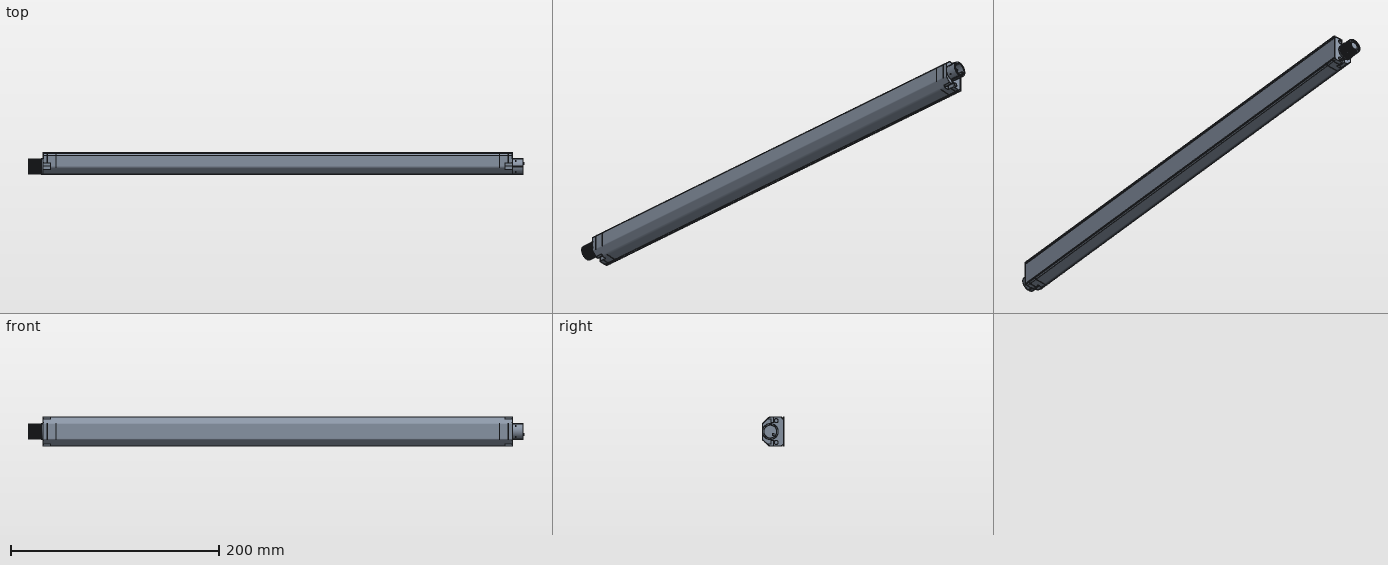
import cadquery as cq
import math

total_length = 476.5
depth = 21.0
height = 28.0

left_connector_length = 14.0
right_barrel_length = 10.0
pin_projection = 1.0

body_left = -total_length / 2 + left_connector_length
barrel_end = total_length / 2 - pin_projection
body_right = barrel_end - right_barrel_length

back = depth / 2
front = -depth / 2
top = height / 2

plate_front = back - 0.7
plate_top = top - 0.25
cover_inset = 0.25
cover_left = body_left + cover_inset
cover_right = body_right - cover_inset
cover_length = cover_right - cover_left
bevel = 2.0
slope_start_y = -4.0
front_face_half_height = 7.5
top_round = 3.5
front_round = 1.5

joint_offsets = (4.5, 13.0)
joint_width = 0.1
joint_depth = 0.25

notch_length = 7.5
notch_back_y = 0.5
notch_front_y = -7.0
notch_depth = 2.0
slot_front_y = -2.5
slot_depth = 5.2
screw_radius = 2.0
screw_y = 3.0
screw_z = 10.5

connector_y = -3.0
flange_radius = 7.5
flange_thickness = 1.5
nut_radius = 7.0
knurl_count = 24
knurl_radius = 0.5
socket_radius = 5.2
socket_depth = 8.5
socket_core_radius = 4.0
barrel_radius = 7.5
barrel_bore_radius = 6.0
barrel_bore_depth = 7.0
barrel_groove_width = 1.0
barrel_groove_depth = 0.5
dimple_radius = 0.4
dimple_depth = 0.5
dimple_offset = 3.0
dimple_angles = (45, 135, 225, 315)
pin_radius = 1.0
pin_y = 0.0
pin_z = -3.0


def cylinder(x_start, x_end, radius, y=connector_y, z=0.0):
    """Solid cylinder along X."""
    return cq.Workplane("YZ", origin=(x_start, y, z)).circle(radius).extrude(x_end - x_start)


def box(x_limits, y_limits, z_limits):
    """Axis-aligned block between two limits, in either order, along each axis."""
    limits = (x_limits, y_limits, z_limits)
    sizes = [abs(second - first) for first, second in limits]
    corner = tuple(min(pair) for pair in limits)
    return cq.Workplane("XY", origin=corner).box(*sizes, centered=False)


def round_long_edges(solid, y, z, radius):
    """Round the two edges along X that lie at (y, z) and (y, -z)."""
    middle = (body_left + body_right) / 2
    upper = cq.selectors.NearestToPointSelector((middle, y, z))
    lower = cq.selectors.NearestToPointSelector((middle, y, -z))
    return solid.edges("|X").edges(upper + lower).fillet(radius)


def make_housing():
    upper_outline = [
        (plate_front, top - bevel),
        (plate_front - bevel, top),
        (slope_start_y, top),
        (front, front_face_half_height),
    ]
    lower_outline = [(y, -z) for y, z in reversed(upper_outline)]
    outline = upper_outline + lower_outline
    cover = cq.Workplane("YZ", origin=(cover_left, 0, 0)).polyline(outline).close().extrude(cover_length)
    cover = round_long_edges(cover, slope_start_y, top, top_round)
    cover = round_long_edges(cover, front, front_face_half_height, front_round)
    plate = box((body_left, body_right), (plate_front, back), (-plate_top, plate_top))
    return cover.union(plate)


def cut_joints(housing):
    """Hairline grooves across the front face, the flat top and bottom faces and the bevels."""
    front_z = (-front_face_half_height, front_face_half_height)
    for offset in joint_offsets:
        for x in (body_left + offset, body_right - offset):
            x_limits = (x - joint_width / 2, x + joint_width / 2)
            housing = housing.cut(box(x_limits, (front, front + joint_depth), front_z))
            for side in (1, -1):
                flat_z = (side * top, side * (top - joint_depth))
                bevel_z = (side * top, side * (top - bevel - joint_depth))
                housing = housing.cut(box(x_limits, (slope_start_y, plate_front), flat_z))
                housing = housing.cut(box(x_limits, (plate_front - bevel, plate_front), bevel_z))
    return housing


def cut_cap_corners(housing):
    """Shallow notch, deeper slot and screw hole at the top and bottom of each end cap."""
    for end, inward in ((body_left, 1), (body_right, -1)):
        notch_x = (end, end + inward * notch_length)
        for side in (1, -1):
            notch_z = (side * top, side * (top - notch_depth))
            slot_z = (side * top, side * (top - slot_depth))
            housing = housing.cut(box(notch_x, (notch_front_y, notch_back_y), notch_z))
            housing = housing.cut(box(notch_x, (slot_front_y, notch_back_y), slot_z))
            housing = housing.cut(cylinder(min(notch_x), max(notch_x), screw_radius, screw_y, side * screw_z))
    return housing


def make_left_connector():
    """Flange and knurled nut with a ring-shaped socket."""
    nut_end = -total_length / 2
    flange = cylinder(body_left - flange_thickness, cover_left, flange_radius)
    nut = cylinder(nut_end, cover_left, nut_radius)
    for i in range(knurl_count):
        angle = 2 * math.pi * i / knurl_count
        y = connector_y + nut_radius * math.cos(angle)
        z = nut_radius * math.sin(angle)
        nut = nut.cut(cylinder(nut_end, body_left, knurl_radius, y, z))
    socket = cylinder(nut_end, nut_end + socket_depth, socket_radius)
    core = cylinder(nut_end, nut_end + socket_depth, socket_core_radius)
    return nut.cut(socket).union(core).union(flange)


def make_right_connector():
    """Bored barrel with grooves along its top and bottom, four dimples and one standing pin."""
    barrel = cylinder(cover_right, barrel_end, barrel_radius)
    groove_y = (connector_y - barrel_groove_width / 2, connector_y + barrel_groove_width / 2)
    for side in (1, -1):
        groove_z = (side * barrel_radius, side * (barrel_radius - barrel_groove_depth))
        barrel = barrel.cut(box((body_right, barrel_end), groove_y, groove_z))
    for angle in dimple_angles:
        dimple = (
            cq.Workplane("XY", origin=(body_right + dimple_offset, connector_y, 0))
            .transformed(rotate=(angle, 0, 0))
            .workplane(offset=barrel_radius - dimple_depth)
            .circle(dimple_radius)
            .extrude(2 * dimple_depth)
        )
        barrel = barrel.cut(dimple)
    bore_start = barrel_end - barrel_bore_depth
    bore = cylinder(bore_start, barrel_end, barrel_bore_radius)
    pin = cylinder(bore_start, total_length / 2, pin_radius, pin_y, pin_z)
    return barrel.cut(bore).union(pin)


housing = cut_cap_corners(cut_joints(make_housing()))
result = housing.union(make_left_connector()).union(make_right_connector())